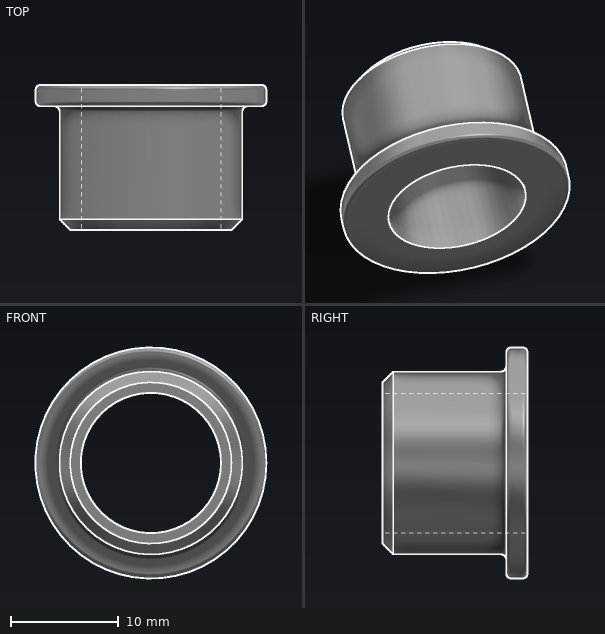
import cadquery as cq

flange_diameter = 21.5
flange_thickness = 2.0
barrel_diameter = 17.0
bore_diameter = 13.0
total_length = 13.5
edge_radius = 0.5
lead_in_chamfer = 1.0

barrel_length = total_length - flange_thickness


def cylinder_along_y(diameter, start_y, length):
    """Solid cylinder on the Y axis, running from start_y toward +Y."""
    base = cq.Workplane("XZ", origin=(0, start_y, 0))
    return base.circle(diameter / 2).extrude(-length)


barrel = cylinder_along_y(barrel_diameter, 0, barrel_length)
barrel = barrel.faces("<Y").chamfer(lead_in_chamfer)

flange = cylinder_along_y(flange_diameter, barrel_length, flange_thickness)
body = barrel.union(flange)

barrel_rings = body.edges("%CIRCLE").edges(cq.selectors.RadiusNthSelector(1))
body = barrel_rings.edges(">Y").fillet(edge_radius)

rim_edges = body.edges("%CIRCLE").edges(cq.selectors.RadiusNthSelector(-1))
body = rim_edges.fillet(edge_radius)

bore = cylinder_along_y(bore_diameter, 0, total_length)
result = body.cut(bore)